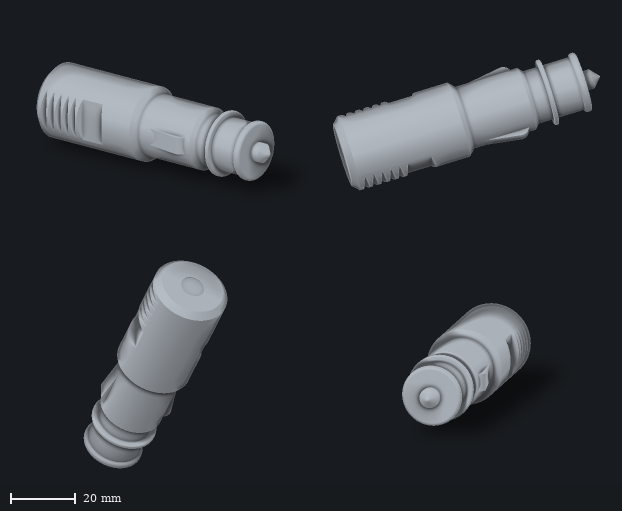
import cadquery as cq
import math

length = 83.55
body_radius = 24.0 / 2
body_end = 39.6
chamfer = 2.0
neck_radius = 20.0 / 2
neck_end = 61.1
spigot_radius = 17.0 / 2
neck_chamfer = neck_radius - spigot_radius
flange_radius = 19.0 / 2
flange_start = 75.8
flange_end = 78.2
flange_round = 1.0
nose_radius = 6.2 / 2
nose_cone_length = 2.75

ring_radius = 21.0 / 2
ring_start = 65.7
ring_end = 67.1
ring_round = 0.5

cut_depth = 2.0
floor_offset = body_radius - cut_depth
flank_run = 1.1
first_groove = 4.2
groove_count = 5
flat_start = 18.1
flat_end = 25.65
groove_pitch = (flat_start - first_groove) / groove_count

key_width = 5.4
key_start = 43.7
key_ramp_end = 54.1
key_end = 57.4
key_height = 11.2
key_base = math.sqrt(neck_radius**2 - (key_width / 2) ** 2)
key_crown_x = 55.5

recess_diameter = 7.5
recess_depth = 0.25


def disc(start, end, radius):
    return cq.Workplane("YZ").workplane(offset=start).circle(radius).extrude(end - start)


def side_prism(outline, width):
    """Extrude an XY outline symmetrically along Z."""
    return outline.close().extrude(width / 2, both=True)


def both_sides(shape):
    return shape.union(shape.mirror("XZ"))


def side_cut(start, end):
    """Cut with sloping flanks; equal start and end give a V groove."""
    outline = cq.Workplane("XY").moveTo(start - flank_run, body_radius).lineTo(start, floor_offset)
    if end > start:
        outline = outline.lineTo(end, floor_offset)
    outline = outline.lineTo(end + flank_run, body_radius)
    return both_sides(side_prism(outline, 2 * body_radius))


def ramped_key():
    outline = (
        cq.Workplane("XY")
        .moveTo(key_start, 0)
        .lineTo(key_start, key_base)
        .lineTo(key_ramp_end, key_height)
        .threePointArc((key_crown_x, key_height), (key_end, key_base))
        .lineTo(key_end, 0)
    )
    return both_sides(side_prism(outline, key_width))


body = disc(0, body_end, body_radius).faces("<X or >X").chamfer(chamfer)
neck = disc(0, neck_end, neck_radius).faces(">X").chamfer(neck_chamfer)
spigot = disc(0, flange_end, spigot_radius)
flange = disc(flange_start, flange_end, flange_radius).edges().fillet(flange_round)
ring = disc(ring_start, ring_end, ring_radius).edges().fillet(ring_round)
nose = disc(0, length, nose_radius).intersect(
    cq.Workplane("XY")
    .lineTo(length, 0)
    .lineTo(length - nose_cone_length, nose_radius)
    .lineTo(0, nose_radius)
    .close()
    .revolve(360, (0, 0, 0), (1, 0, 0))
)

result = body.union(neck).union(spigot).union(flange).union(ring).union(nose)
for index in range(groove_count):
    groove_x = first_groove + index * groove_pitch
    result = result.cut(side_cut(groove_x, groove_x))
result = result.cut(side_cut(flat_start, flat_end))
result = result.union(ramped_key())
result = result.cut(disc(0, recess_depth, recess_diameter / 2))